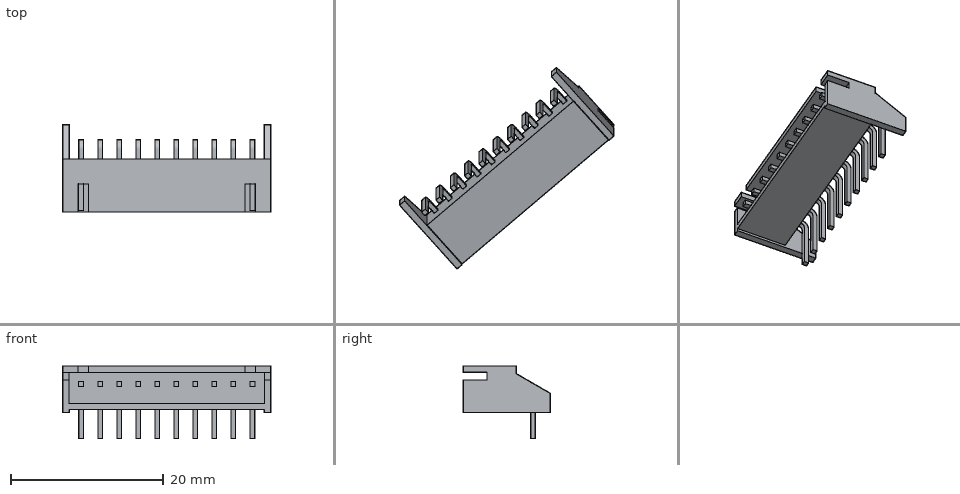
import cadquery as cq

CONTACT_COUNT = 10
PITCH = 2.5
PIN_SIZE = 0.64
PIN_TIP_SETBACK = 0.2
TAIL_BACK_Y = 9.52
TAIL_LENGTH = 3.4
PIN_TOP_BELOW_ROOF = 2.05
BEND_RADIUS = 1.25

END_MARGIN = 2.45
WIDTH = (CONTACT_COUNT - 1) * PITCH + 2 * END_MARGIN
HEIGHT = 6.15
BODY_DEPTH = 7.0
WALL = 0.83
FOOT_HEIGHT = 0.4
CAVITY_DEPTH = 4.7

PLATE_THICKNESS = 0.9
PLATE_DEPTH = 11.5
WING_TOP_Z = 5.15
WING_BACK_Z = 2.55

SIDE_SLOT_DEPTH = 3.15
SIDE_SLOT_HEIGHT = 1.0
ROOF_SLOT_DEPTH = 3.7
ROOF_SLOT_WIDTH = 1.4
ROOF_SLOT_FROM_END = 2.0


def corner_box(x, y, z, width, depth, height):
    """Box with its lowest corner at (x, y, z)."""
    return cq.Workplane("XY").box(width, depth, height, centered=False).translate((x, y, z))


def make_body():
    """Solid rectangular block of the housing, without feet or cavity."""
    return corner_box(-WIDTH / 2, 0, FOOT_HEIGHT, WIDTH, BODY_DEPTH, HEIGHT - FOOT_HEIGHT)


def make_end_plate(x):
    """Full-depth side plate with a sloping rear wing, from x to x + PLATE_THICKNESS."""
    outline = [
        (0, 0),
        (PLATE_DEPTH, 0),
        (PLATE_DEPTH, WING_BACK_Z),
        (BODY_DEPTH, WING_TOP_Z),
        (BODY_DEPTH, HEIGHT),
        (0, HEIGHT),
    ]
    return cq.Workplane("YZ", origin=(x, 0, 0)).polyline(outline).close().extrude(PLATE_THICKNESS)


def make_cavity():
    """Mating cavity, open at the front."""
    floor_z = FOOT_HEIGHT + WALL
    return corner_box(
        WALL - WIDTH / 2, 0, floor_z,
        WIDTH - 2 * WALL, CAVITY_DEPTH, HEIGHT - WALL - floor_z,
    )


def make_side_slots():
    """Slot through both side walls, directly under the roof."""
    slot_z = HEIGHT - WALL - SIDE_SLOT_HEIGHT
    return corner_box(-WIDTH / 2, 0, slot_z, WIDTH, SIDE_SLOT_DEPTH, SIDE_SLOT_HEIGHT)


def make_roof_slot(x):
    """Slot through the roof, open at the front."""
    return corner_box(x, 0, HEIGHT - WALL, ROOF_SLOT_WIDTH, ROOF_SLOT_DEPTH, WALL)


def make_contact(x):
    """Square right-angle contact centred on x, rounded at its bend."""
    top_z = HEIGHT - PIN_TOP_BELOW_ROOF
    profile = (
        cq.Workplane("YZ", origin=(x - PIN_SIZE / 2, 0, 0))
        .moveTo(PIN_TIP_SETBACK, top_z)
        .lineTo(TAIL_BACK_Y - BEND_RADIUS, top_z)
        .radiusArc((TAIL_BACK_Y, top_z - BEND_RADIUS), BEND_RADIUS)
        .lineTo(TAIL_BACK_Y, -TAIL_LENGTH)
        .lineTo(TAIL_BACK_Y - PIN_SIZE, -TAIL_LENGTH)
        .lineTo(TAIL_BACK_Y - PIN_SIZE, top_z - BEND_RADIUS)
        .radiusArc((TAIL_BACK_Y - BEND_RADIUS, top_z - PIN_SIZE), -(BEND_RADIUS - PIN_SIZE))
        .lineTo(PIN_TIP_SETBACK, top_z - PIN_SIZE)
        .close()
    )
    return profile.extrude(PIN_SIZE)


housing = make_body()
for plate_x in (-WIDTH / 2, WIDTH / 2 - PLATE_THICKNESS):
    housing = housing.union(make_end_plate(plate_x))
housing = housing.cut(make_cavity()).cut(make_side_slots())
slot_offset = WIDTH / 2 - ROOF_SLOT_FROM_END
for slot_x in (-slot_offset, slot_offset - ROOF_SLOT_WIDTH):
    housing = housing.cut(make_roof_slot(slot_x))

result = housing
for index in range(CONTACT_COUNT):
    contact_x = (index - (CONTACT_COUNT - 1) / 2) * PITCH
    result = result.union(make_contact(contact_x))